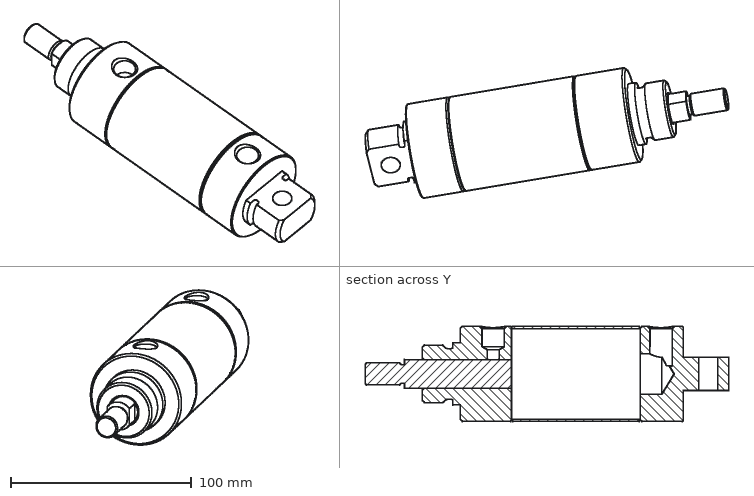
import cadquery as cq
import math

thread_end = 19.2
rod_shoulder = 21.8
nose_start = 31.7
nose_neck_start = 45.0
front_flange_start = 48.5
front_cap_start = 52.6
front_joint = 81.3
rear_joint = 152.5
rear_cap_end = 176.5
rear_flange_end = 179.7
tang_start = 182.9
overall_length = 201.6

body_radius = 26.51
tube_bore_radius = 25.0
flange_radius = 17.3
nose_radius = 16.03
neck_radius = 14.1
rod_radius = 8.0
thread_radius = 6.3
relief_radius = 5.2

front_edge_chamfer = 1.2
rear_edge_chamfer = 0.6
joint_chamfer = 0.6
rear_cap_joint_chamfer = 1.0
nose_chamfer = 1.2
nose_inner_chamfer = 1.8
bore_chamfer = 0.8
thread_chamfer = 0.8
neck_fillet = 1.0
nose_neck_fillet = 1.8

wrench_width = 13.0
tang_thickness = 18.5
tang_end_chamfer = 1.8
tang_hole_radius = 5.2
tang_hole_x = 190.1

port_radius = 6.0
port_rim_radius = 7.56
front_port_x = 71.0
front_port_floor = 15.1
pilot_radius = 3.2
rear_port_x = 164.0
rear_port_floor = 4.5
cavity_radius = 11.0
cavity_cone_start = 164.5
drill_half_angle = math.radians(59)


def revolve_about_x(outline):
    """Turn a closed outline of (x, radius) points into a solid about the X axis."""
    return cq.Workplane("XY").polyline(outline).close().revolve(360, (0, 0, 0), (1, 0, 0))


def turned_about_z(outline, x):
    """Turn a closed outline of (radius, z) points about a vertical axis at the given x."""
    tool = cq.Workplane("XZ").polyline(outline).close().revolve(360, (0, 0, 0), (0, 1, 0))
    return tool.translate((x, 0, 0))


def fillet_neck_corner(body, x, fillet_radius):
    """Round the inside corner of a neck at the given x."""
    reach = 0.1
    corner = cq.selectors.BoxSelector(
        (x - reach, -body_radius, -body_radius),
        (x + reach, body_radius, body_radius),
        boundingbox=True,
    )
    ring = body.edges(corner).edges(cq.selectors.RadiusNthSelector(0))
    return ring.fillet(fillet_radius)


def port(x, floor):
    """Flat-bottomed port with a 45 degree countersunk rim."""
    rim_bottom = body_radius - (port_rim_radius - port_radius)
    outline = [
        (0, floor),
        (port_radius, floor),
        (port_radius, rim_bottom),
        (port_rim_radius, body_radius),
        (0, body_radius),
    ]
    return turned_about_z(outline, x)


def make_rod():
    """Piston rod with a threaded tip, a thread relief and two wrench flats."""
    relief_slope = thread_radius - relief_radius
    rod = revolve_about_x([
        (0, 0),
        (0, thread_radius - thread_chamfer),
        (thread_chamfer, thread_radius),
        (thread_end, thread_radius),
        (thread_end + relief_slope, relief_radius),
        (rod_shoulder, relief_radius),
        (rod_shoulder, rod_radius),
        (front_joint, rod_radius),
        (front_joint, 0),
    ])
    flat_length = nose_start - rod_shoulder
    flat_depth = rod_radius - wrench_width / 2
    for side in (1, -1):
        flat = cq.Workplane("XY").box(flat_length, flat_depth, 2 * rod_radius)
        flat_middle_y = side * (wrench_width + flat_depth) / 2
        rod = rod.cut(flat.translate((rod_shoulder + flat_length / 2, flat_middle_y, 0)))
    return rod


def make_front_cap():
    """Front cap with its threaded nose, rod bore and front port."""
    cap = revolve_about_x([
        (nose_start, rod_radius + bore_chamfer),
        (nose_start, nose_radius - nose_chamfer),
        (nose_start + nose_chamfer, nose_radius),
        (nose_neck_start - nose_inner_chamfer, nose_radius),
        (nose_neck_start, neck_radius),
        (front_flange_start, neck_radius),
        (front_flange_start, flange_radius),
        (front_cap_start, flange_radius),
        (front_cap_start, body_radius - front_edge_chamfer),
        (front_cap_start + front_edge_chamfer, body_radius),
        (front_joint - joint_chamfer, body_radius),
        (front_joint, body_radius - joint_chamfer),
        (front_joint, rod_radius),
        (nose_start + bore_chamfer, rod_radius),
    ])
    cap = fillet_neck_corner(cap, nose_neck_start, nose_neck_fillet)
    cap = fillet_neck_corner(cap, front_flange_start, neck_fillet)

    cone_bottom = front_port_floor - (port_radius - pilot_radius) / math.tan(drill_half_angle)
    drill_point = turned_about_z([
        (0, 0),
        (pilot_radius, 0),
        (pilot_radius, cone_bottom),
        (port_radius, front_port_floor),
        (0, front_port_floor),
    ], front_port_x)
    return cap.cut(port(front_port_x, front_port_floor)).cut(drill_point)


def make_tube():
    """Plain tube between the two caps."""
    return revolve_about_x([
        (front_joint, tube_bore_radius),
        (front_joint, body_radius - joint_chamfer),
        (front_joint + joint_chamfer, body_radius),
        (rear_joint - joint_chamfer, body_radius),
        (rear_joint, body_radius - joint_chamfer),
        (rear_joint, tube_bore_radius),
    ])


def make_rear_cap():
    """Rear cap with its flat mounting tang, inner cavity and rear port."""
    cap = revolve_about_x([
        (rear_joint, 0),
        (rear_joint, body_radius - rear_cap_joint_chamfer),
        (rear_joint + rear_cap_joint_chamfer, body_radius),
        (rear_cap_end - rear_edge_chamfer, body_radius),
        (rear_cap_end, body_radius - rear_edge_chamfer),
        (rear_cap_end, flange_radius),
        (rear_flange_end, flange_radius),
        (rear_flange_end, neck_radius),
        (tang_start, neck_radius),
        (tang_start, nose_radius),
        (overall_length - tang_end_chamfer, nose_radius),
        (overall_length, nose_radius - tang_end_chamfer),
        (overall_length, 0),
    ])
    for x in (rear_flange_end, tang_start):
        cap = fillet_neck_corner(cap, x, neck_fillet)

    tang_length = overall_length - rear_cap_end
    cut_height = body_radius - tang_thickness / 2
    for side in (1, -1):
        flat = cq.Workplane("XY").box(tang_length, 2 * body_radius, cut_height)
        flat_middle_z = side * (tang_thickness + cut_height) / 2
        cap = cap.cut(flat.translate((rear_cap_end + tang_length / 2, 0, flat_middle_z)))

    tang_hole = cq.Workplane("XY").center(tang_hole_x, 0).circle(tang_hole_radius)
    tang_hole = tang_hole.extrude(tang_thickness, both=True)

    cavity = revolve_about_x([
        (rear_joint, 0),
        (rear_joint, cavity_radius),
        (cavity_cone_start, cavity_radius),
        (cavity_cone_start + cavity_radius / math.tan(drill_half_angle), 0),
    ])
    return cap.cut(tang_hole).cut(cavity).cut(port(rear_port_x, rear_port_floor))


rod = make_rod()
front_cap = make_front_cap()
tube = make_tube()
rear_cap = make_rear_cap()

result = cq.Compound.makeCompound([rod.val(), front_cap.val(), tube.val(), rear_cap.val()])